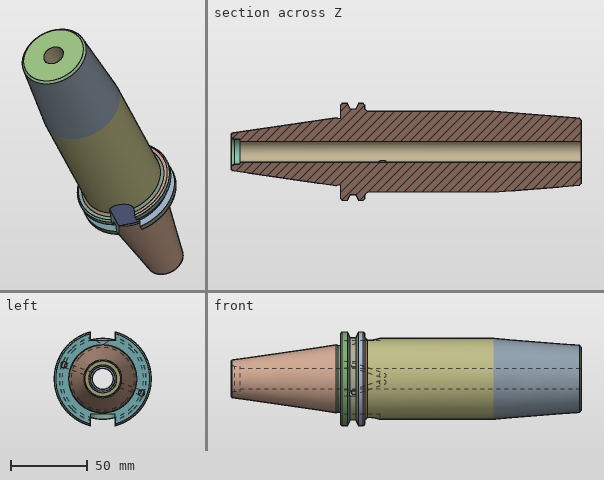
import cadquery as cq
import math

length = 228.2

taper_end = 68.5
taper_large_radius = 22.25
taper_slope = 7 / 48
taper_small_radius = taper_large_radius - taper_end * taper_slope
taper_chamfer = 0.7
relief_start = 69.6
relief_radius = 43.5 / 2

flange_start = 71.2
flange_end = 87.2
flange_radius = 63.5 / 2
flange_chamfer = 1.1
groove_center = 79.5
groove_floor_width = 3.7
groove_radius = 28.0
groove_angle = 54.0
groove_depth = flange_radius - groove_radius
groove_floor_half = groove_floor_width / 2
groove_mouth_half = groove_floor_half + groove_depth * math.tan(math.radians(groove_angle / 2))

collar_radius = 28.3
body_start = 88.8
body_radius = 53.0 / 2
nose_start = 171.2
nose_end_radius = 22.0
nose_chamfer = 1.4
nose_slope = (body_radius - nose_end_radius) / (length - nose_start)

bore_diameter = 13.5
socket_diameter = 16.2
socket_mouth_diameter = 18.3
socket_chamfer_depth = 2.3
socket_depth = 5.7

slot_width = 16.2
slot_end = 97.0
upper_floor = 25.0
lower_floor = 22.8

dimple_diameter = 9.5
dimple_angle = 118.0

coolant_diameter = 4.0
coolant_circle_radius = 27.0
coolant_angles = (20.0, 200.0)
passage_diameter = 3.2
passage_start = 78.5
passage_angle = 45.0
coolant_end = groove_center + groove_floor_half


def make_holder():
    """Revolve the complete outer profile about X."""
    profile = [
        (0, 0),
        (0, taper_small_radius - taper_chamfer),
        (taper_chamfer, taper_small_radius + taper_chamfer * taper_slope),
        (taper_end, taper_large_radius),
        (relief_start, relief_radius),
        (flange_start, relief_radius),
        (flange_start, flange_radius - flange_chamfer),
        (flange_start + flange_chamfer, flange_radius),
        (groove_center - groove_mouth_half, flange_radius),
        (groove_center - groove_floor_half, groove_radius),
        (groove_center + groove_floor_half, groove_radius),
        (groove_center + groove_mouth_half, flange_radius),
        (flange_end - flange_chamfer, flange_radius),
        (flange_end, flange_radius - flange_chamfer),
        (flange_end, collar_radius),
        (body_start, body_radius),
        (nose_start, body_radius),
        (length - nose_chamfer, nose_end_radius + nose_chamfer * nose_slope),
        (length, nose_end_radius - nose_chamfer),
        (length, 0),
    ]
    return cq.Workplane("XY").polyline(profile).close().revolve(360, (0, 0, 0), (1, 0, 0))


def make_bore():
    """Through bore with a chamfered socket at the small end."""
    profile = [
        (0, 0),
        (0, socket_mouth_diameter / 2),
        (socket_chamfer_depth, socket_diameter / 2),
        (socket_depth, socket_diameter / 2),
        (socket_depth, bore_diameter / 2),
        (length, bore_diameter / 2),
        (length, 0),
    ]
    return cq.Workplane("XY").polyline(profile).close().revolve(360, (0, 0, 0), (1, 0, 0))


def make_slot(floor, side):
    """Round-ended slot, open toward the taper; side is +1 for +Z or -1 for -Z."""
    half_width = slot_width / 2
    arc_start = slot_end - half_width
    return (
        cq.Workplane("XY", origin=(0, 0, side * floor))
        .moveTo(relief_start, -half_width)
        .lineTo(arc_start, -half_width)
        .threePointArc((slot_end, 0), (arc_start, half_width))
        .lineTo(relief_start, half_width)
        .close()
        .extrude(side * flange_radius)
    )


def make_dimple():
    """Cone pointing inward from the upper slot floor."""
    radius = dimple_diameter / 2
    depth = radius / math.tan(math.radians(dimple_angle / 2))
    cone = cq.Solid.makeCone(
        radius, 0, depth, pnt=cq.Vector(groove_center, 0, upper_floor), dir=cq.Vector(0, 0, -1)
    )
    return cq.Workplane(cone)


def make_coolant_hole(angle):
    """Axial hole at the given angle from +Y toward +Z."""
    y = coolant_circle_radius * math.cos(math.radians(angle))
    z = coolant_circle_radius * math.sin(math.radians(angle))
    return (
        cq.Workplane("YZ", origin=(flange_start, y, z))
        .circle(coolant_diameter / 2)
        .extrude(coolant_end - flange_start)
    )


def make_passage(angle):
    """Inclined passage from a coolant hole in the groove inward to the bore."""
    incline = math.radians(passage_angle)
    reach = coolant_circle_radius / math.sin(incline)
    passage = cq.Solid.makeCylinder(
        passage_diameter / 2,
        reach,
        pnt=cq.Vector(passage_start, coolant_circle_radius, 0),
        dir=cq.Vector(math.cos(incline), -math.sin(incline), 0),
    )
    return cq.Workplane(passage).rotate((0, 0, 0), (1, 0, 0), angle)


result = make_holder().cut(make_bore())
result = result.cut(make_slot(upper_floor, 1)).cut(make_slot(lower_floor, -1))
result = result.cut(make_dimple())
for hole_angle in coolant_angles:
    result = result.cut(make_coolant_hole(hole_angle))
    result = result.cut(make_passage(hole_angle))